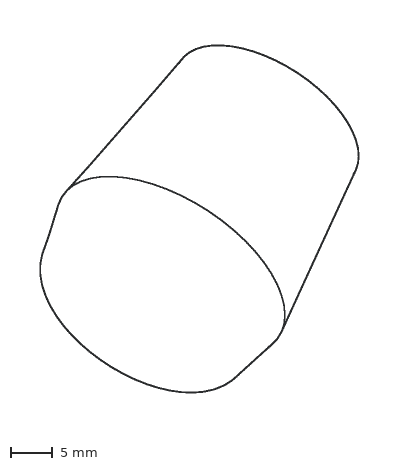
import cadquery as cq

length = 34.0
widest_radius = 31.0 / 2
back_radius = 12.4
nose_radius = 13.45
nose_length = 9.0
edge_rounding = 2.5

profile = (
    cq.Workplane("XY")
    .moveTo(0, 0)
    .lineTo(nose_radius, 0)
    .lineTo(widest_radius, nose_length)
    .lineTo(back_radius, length)
    .lineTo(0, length)
    .close()
)
body = profile.revolve(360, (0, 0, 0), (0, 1, 0))

result = body.faces("<Y").edges().fillet(edge_rounding)